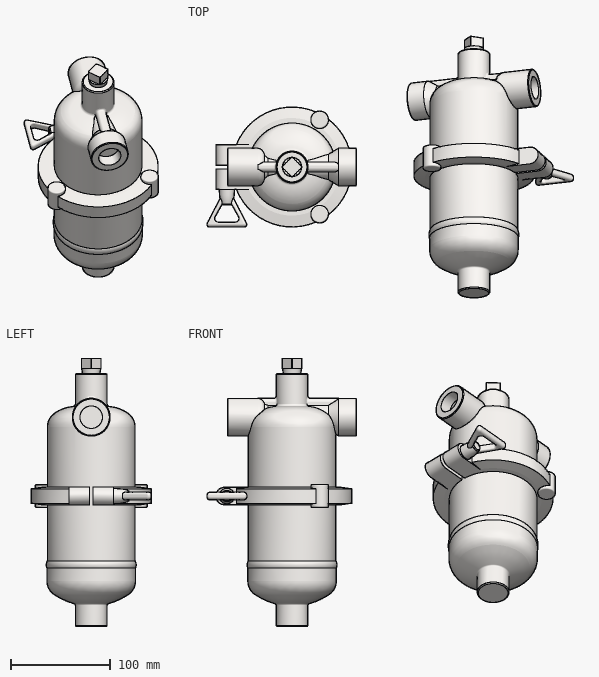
import cadquery as cq

neck_radius = 32.0 / 2
neck_edge = 1.0
bottom_neck_top = 21.0
top_neck_bottom = 223.3
top_neck_top = 254.0
collar_top_radius = 9.7
collar_bottom_radius = 9.0
plug_head_bottom = 258.8
plug_head_side = 14.5
plug_head_corner_radius = 10.0
overall_height = 269.0

lower_radius = 89.0 / 2
upper_radius = 44.0
bead_radius = 45.2
bead_bottom = 58.6
bead_top = 66.0
knuckle_height = 13.7
crown_radius = 37.0
lower_knuckle_top = 45.7
upper_knuckle_bottom = 200.1
lower_fillet_radius = 17.2
lower_fillet_top = 22.9
upper_fillet_radius = 18.5
upper_fillet_bottom = 220.8

port_radius = 38.0 / 2
port_height = 210.0
port_end = 64.8
port_edge = 0.8
port_core_radius = 13.0
bore_diameter = 22.5
bore_depth = 13.0
outlet_shoulder = 46.8
outlet_cone_end = 36.5
inlet_shoulder = 34.0
inlet_round_end = 27.5
inlet_round_radius = 14.0
inlet_core_start = 24.2

rib_width = 10.2
rib_top = 229.2
rib_rounding = 4.3
rib_fillet = 2.2

clamp_height = 131.0
clamp_radius = 60.3
clamp_flat_radius = 49.0
clamp_thickness = 17.8
clamp_rim_thickness = 14.5
lug_axis_x = -67.5
lug_width = 45.0
lug_gap = 3.5
hinge_x = 27.7
hinge_y = 47.3
hinge_radius = 9.0
hinge_length = 23.0
hinge_edge = 1.3

screw_x = -65.5
screw_radius = 7.8
screw_tip_radius = 5.6
screw_edge = 1.0
screw_end = 38.0
handle_thickness = 7.8
handle_end = clamp_radius
handle_bar = 5.0
handle_top = 28.0
handle_top_half_width = 5.0
handle_base_half_width = 21.8
window_top = 35.8
window_top_half_width = 3.8
window_base_half_width = 14.5
handle_corner = 2.7
window_corner = 3.5
handle_outer_rounding = 3.0
handle_inner_rounding = 1.5


def x_cylinder(radius, start, length):
    return cq.Workplane("YZ", origin=(start, 0, port_height)).circle(radius).extrude(length)


def vessel_end(body_radius, start, knuckle_start, fillet_radius, fillet_start, neck_start, neck_end):
    """Half of the body turned about Z: wall, knuckle, shallow crown, fillet and neck, in that order."""
    outward = 1 if neck_end > start else -1
    return (
        cq.Workplane("XZ")
        .moveTo(0, start)
        .lineTo(body_radius, start)
        .lineTo(body_radius, knuckle_start)
        .tangentArcPoint((crown_radius, knuckle_start + outward * knuckle_height), relative=False)
        .tangentArcPoint((fillet_radius, fillet_start), relative=False)
        .tangentArcPoint((neck_radius, neck_start), relative=False)
        .lineTo(neck_radius, neck_end - outward * neck_edge)
        .lineTo(neck_radius - neck_edge, neck_end)
        .lineTo(0, neck_end)
        .close()
        .revolve(360, (0, 0, 0), (0, 1, 0))
    )


def vessel():
    """Upper and lower ends joined by a rounded bead."""
    upper = vessel_end(
        upper_radius,
        bead_top,
        upper_knuckle_bottom,
        upper_fillet_radius,
        upper_fillet_bottom,
        top_neck_bottom,
        top_neck_top,
    )
    lower = vessel_end(
        lower_radius,
        bead_bottom,
        lower_knuckle_top,
        lower_fillet_radius,
        lower_fillet_top,
        bottom_neck_top,
        0,
    )
    bead = (
        cq.Workplane("XZ")
        .moveTo(0, bead_bottom)
        .lineTo(lower_radius, bead_bottom)
        .threePointArc((bead_radius, (bead_bottom + bead_top) / 2), (upper_radius, bead_top))
        .lineTo(0, bead_top)
        .close()
        .revolve(360, (0, 0, 0), (0, 1, 0))
    )
    return lower.union(bead).union(upper)


def plug():
    """Tapered collar carrying a square head set cornerwise to X and Y."""
    collar = (
        cq.Workplane("XY", origin=(0, 0, top_neck_top))
        .circle(collar_bottom_radius)
        .workplane(offset=plug_head_bottom - top_neck_top)
        .circle(collar_top_radius)
        .loft()
    )
    head = (
        cq.Workplane("XY", origin=(0, 0, plug_head_bottom))
        .transformed(rotate=(0, 0, 45))
        .rect(plug_head_side, plug_head_side)
        .extrude(overall_height - plug_head_bottom)
    )
    corner_limit = (
        cq.Workplane("XY", origin=(0, 0, plug_head_bottom))
        .circle(plug_head_corner_radius)
        .extrude(overall_height - plug_head_bottom)
    )
    return collar.union(head.intersect(corner_limit))


def ports():
    """Inlet on -X and outlet on +X, turned about their shared axis."""
    return (
        cq.Workplane("XY")
        .moveTo(-port_end, 0)
        .lineTo(-port_end, port_radius - port_edge)
        .lineTo(-port_end + port_edge, port_radius)
        .lineTo(-inlet_shoulder, port_radius)
        .tangentArcPoint((-inlet_round_end, inlet_round_radius), relative=False)
        .lineTo(-inlet_core_start, port_core_radius)
        .lineTo(outlet_cone_end, port_core_radius)
        .lineTo(outlet_shoulder, port_radius)
        .lineTo(port_end - port_edge, port_radius)
        .lineTo(port_end, port_radius - port_edge)
        .lineTo(port_end, 0)
        .close()
        .revolve(360, (0, 0, 0), (1, 0, 0))
        .translate((0, 0, port_height))
    )


def ribs():
    """Round-topped bars along X from both ports, blended into a length of the top neck."""
    bar = (
        cq.Workplane("XY", origin=((outlet_shoulder - inlet_shoulder) / 2, 0, port_height))
        .rect(outlet_shoulder + inlet_shoulder, rib_width)
        .extrude(rib_top - port_height)
        .edges("|X and >Z")
        .fillet(rib_rounding)
    )
    neck = (
        cq.Workplane("XY", origin=(0, 0, port_height))
        .circle(neck_radius)
        .extrude(top_neck_top - neck_edge - port_height)
    )
    above_base = port_height + rib_fillet / 2
    joints = cq.selectors.BoxSelector(
        (-neck_radius, -rib_width, above_base),
        (neck_radius, rib_width, rib_top + rib_fillet),
    )
    return neck.union(bar).edges(joints).fillet(rib_fillet)


def port_bores():
    bores = cq.Workplane()
    for start in (-port_end, port_end - bore_depth):
        bores = bores.add(x_cylinder(bore_diameter / 2, start, bore_depth))
    return bores.combine()


def clamp():
    """Ring with sloping faces, a split pair of round-ended lugs and two hinge pins."""
    ring = (
        cq.Workplane("XZ")
        .polyline([
            (0, -clamp_thickness / 2),
            (clamp_flat_radius, -clamp_thickness / 2),
            (clamp_radius, -clamp_rim_thickness / 2),
            (clamp_radius, clamp_rim_thickness / 2),
            (clamp_flat_radius, clamp_thickness / 2),
            (0, clamp_thickness / 2),
        ])
        .close()
        .revolve(360, (0, 0, 0), (0, 1, 0))
    )
    lugs = (
        cq.Workplane("XY")
        .box(-lug_axis_x, lug_width, clamp_thickness)
        .translate((lug_axis_x / 2, 0, 0))
        .union(
            cq.Workplane("XZ", origin=(lug_axis_x, 0, 0))
            .circle(clamp_thickness / 2)
            .extrude(lug_width / 2, both=True)
        )
    )
    pins = (
        cq.Workplane("XY", origin=(0, 0, -hinge_length / 2))
        .pushPoints([(hinge_x, -hinge_y), (hinge_x, hinge_y)])
        .circle(hinge_radius)
        .extrude(hinge_length)
        .faces("<Z or >Z")
        .edges()
        .fillet(hinge_edge)
    )
    gap_length = 2 * clamp_radius
    gap = (
        cq.Workplane("XY")
        .box(gap_length, lug_gap, hinge_length)
        .translate((-gap_length / 2, 0, 0))
    )
    return ring.union(lugs).cut(gap).union(pins).translate((0, 0, clamp_height))


def trapezoid(near, near_half_width, far, far_half_width):
    """Plate spanning the distances near to far on the -Y side of the clamp screw's X position."""
    return (
        cq.Workplane("XY", origin=(screw_x, 0, -handle_thickness / 2))
        .polyline([
            (-near_half_width, -near),
            (near_half_width, -near),
            (far_half_width, -far),
            (-far_half_width, -far),
        ])
        .close()
        .extrude(handle_thickness)
    )


def clamp_screw():
    """Tapered screw end with a handle formed as a rounded triangular loop."""
    lug_face = lug_width / 2
    shank = (
        cq.Workplane("XY")
        .moveTo(0, -lug_face / 2)
        .lineTo(screw_radius, -lug_face / 2)
        .lineTo(screw_radius, -lug_face)
        .tangentArcPoint((screw_tip_radius, screw_edge - screw_end), relative=False)
        .lineTo(screw_tip_radius - screw_edge, -screw_end)
        .lineTo(0, -screw_end)
        .close()
        .revolve(360, (0, 0, 0), (0, 1, 0))
        .translate((screw_x, 0, 0))
    )
    plate = (
        trapezoid(handle_top, handle_top_half_width, handle_end, handle_base_half_width)
        .edges("|Z and <Y")
        .fillet(handle_corner)
        .faces("<Z or >Z")
        .edges()
        .fillet(handle_outer_rounding)
    )
    window = (
        trapezoid(window_top, window_top_half_width, handle_end - handle_bar, window_base_half_width)
        .edges("|Z and <Y")
        .fillet(window_corner)
    )
    loop = plate.cut(window)
    window_edges = []
    for face in loop.faces("<Z or >Z").vals():
        for wire in face.innerWires():
            window_edges += wire.Edges()
    loop = loop.newObject(window_edges).fillet(handle_inner_rounding)
    return shank.union(loop).translate((0, 0, clamp_height))


result = (
    vessel()
    .union(plug())
    .union(ports())
    .union(ribs())
    .cut(port_bores())
    .union(clamp())
    .union(clamp_screw())
)